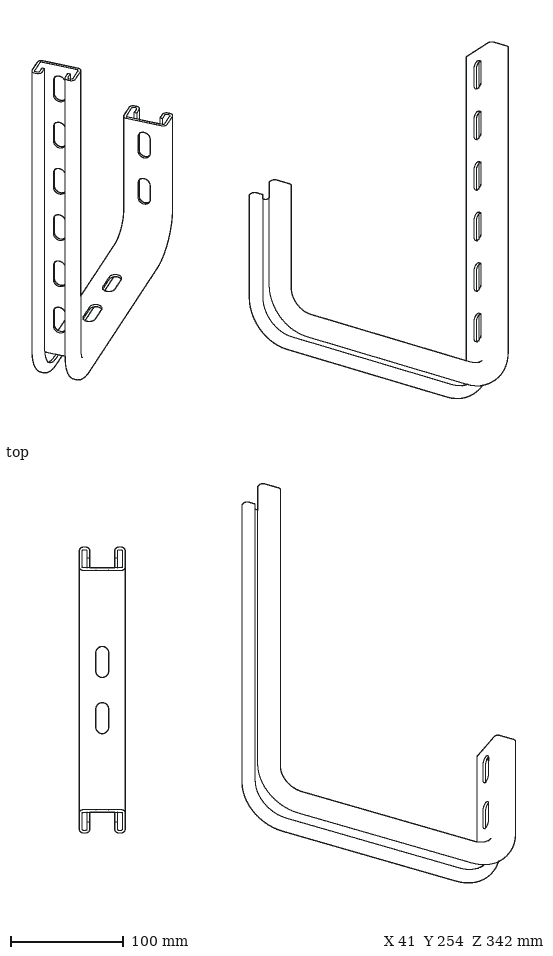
import cadquery as cq

height = 342.0
span = 254.0
short_leg_height = 142.0

width = 41.0
depth = 21.0
thickness = 2.5
fold_radius = 3.8
lip_gap = 22.0
lip_depth = 10.0

inner_bend_radius = 20.2
outer_bend_radius = inner_bend_radius + depth

slot_length = 27.5
slot_width = 11.3
slot_pitch = 50.0
slot_end_distance = 25.0
tall_leg_slots = 6
short_leg_slots = 2
base_slots = 2

half_width = width / 2
half_gap = lip_gap / 2
half_span = span / 2
slot_cut_depth = depth + thickness


def channel_section():
    """Section at the top of the tall leg: local y is 0 at the lips and `depth` at the web."""
    inner_fold = fold_radius - thickness
    wall_inside = half_width - thickness
    web_inside = depth - thickness
    lip_inside = half_gap + thickness
    return (
        cq.Workplane("XY", origin=(0, -half_span, height))
        .moveTo(0, depth)
        .lineTo(half_width - fold_radius, depth)
        .tangentArcPoint((half_width, depth - fold_radius), relative=False)
        .lineTo(half_width, fold_radius)
        .tangentArcPoint((half_width - fold_radius, 0), relative=False)
        .lineTo(half_gap + fold_radius, 0)
        .tangentArcPoint((half_gap, fold_radius), relative=False)
        .lineTo(half_gap, lip_depth)
        .lineTo(lip_inside, lip_depth)
        .lineTo(lip_inside, fold_radius)
        .tangentArcPoint((lip_inside + inner_fold, thickness), relative=False)
        .lineTo(wall_inside - inner_fold, thickness)
        .tangentArcPoint((wall_inside, thickness + inner_fold), relative=False)
        .lineTo(wall_inside, web_inside - inner_fold)
        .tangentArcPoint((wall_inside - inner_fold, web_inside), relative=False)
        .lineTo(0, web_inside)
        .mirrorY()
    )


def bend_path():
    """Outer edge of the J, from the top of the tall leg to the top of the short leg."""
    bend_start = half_span - outer_bend_radius
    return (
        cq.Workplane("YZ")
        .moveTo(-half_span, height)
        .lineTo(-half_span, outer_bend_radius)
        .tangentArcPoint((-bend_start, 0), relative=False)
        .lineTo(bend_start, 0)
        .tangentArcPoint((half_span, outer_bend_radius), relative=False)
        .lineTo(half_span, short_leg_height)
    )


def leg_slots(top, count, outer_y, inward):
    """Vertical slots through a leg's web, spaced down from its top; `inward` is the Y sign of the cut."""
    centers = [(0, top - slot_end_distance - i * slot_pitch) for i in range(count)]
    return (
        cq.Workplane("XZ", origin=(0, outer_y, 0))
        .pushPoints(centers)
        .slot2D(slot_length, slot_width, 90)
        .extrude(-inward * slot_cut_depth)
    )


def base_slot_row():
    """Slots through the base web, centred between the legs and running along Y."""
    return (
        cq.Workplane("XY")
        .rarray(3.5, slot_pitch, 1, base_slots)
        .slot2D(slot_length, slot_width, 90)
        .extrude(slot_cut_depth)
    )


result = (
    channel_section()
    .sweep(bend_path())
    .cut(leg_slots(height, tall_leg_slots, -half_span, 1))
    .cut(leg_slots(short_leg_height, short_leg_slots, half_span, -1))
    .cut(base_slot_row())
    .solids()
)